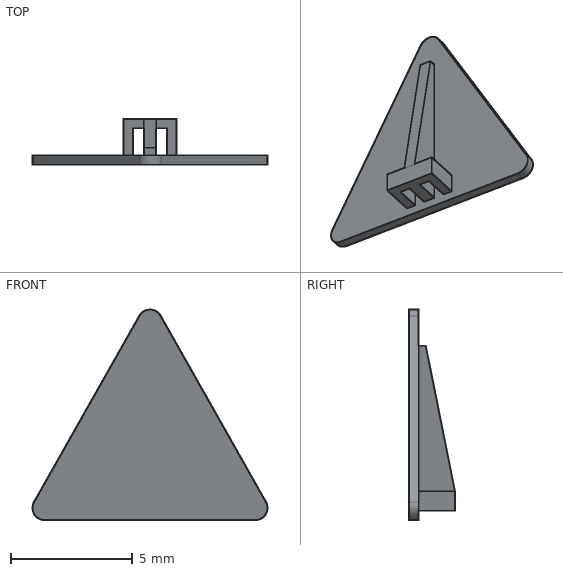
import cadquery as cq
import math

width = 9.69
height = 8.68
depth = 1.9
plate_thickness = 0.4
corner_radius = 0.5

bracket_width = 2.19
bracket_wall = 0.4
bracket_bottom = 0.39
bracket_top = 1.2

rib_width = 0.5
rib_top = 7.19
rib_top_reach = 0.3


def make_plate():
    """Isosceles outline: straight edges joined by arcs about three corner centres."""
    r = corner_radius
    base_x = width / 2 - r
    apex_z = height - r
    side_angle = math.atan2(apex_z - r, base_x)
    normal_x = r * math.sin(side_angle)
    normal_z = r * math.cos(side_angle)
    middle_angle = -side_angle / 2
    middle_x = base_x + r * math.cos(middle_angle)
    middle_z = r + r * math.sin(middle_angle)
    outline = (
        cq.Workplane("XZ")
        .moveTo(-base_x, 0)
        .lineTo(base_x, 0)
        .threePointArc((middle_x, middle_z), (base_x + normal_x, r + normal_z))
        .lineTo(normal_x, apex_z + normal_z)
        .threePointArc((0, height), (-normal_x, apex_z + normal_z))
        .lineTo(-base_x - normal_x, r + normal_z)
        .threePointArc((-middle_x, middle_z), (-base_x, 0))
        .close()
    )
    return outline.extrude(-plate_thickness)


def make_bracket():
    """Two side walls and a back wall, open at the top and bottom."""
    bracket_height = bracket_top - bracket_bottom
    reach = depth - plate_thickness
    base = cq.Workplane("XY", origin=(0, plate_thickness, bracket_bottom))
    from_plate = (True, False, False)
    block = base.box(bracket_width, reach, bracket_height, centered=from_plate)
    opening = base.box(
        bracket_width - 2 * bracket_wall,
        reach - bracket_wall,
        bracket_height,
        centered=from_plate,
    )
    return block.cut(opening)


def make_rib():
    """Rib that runs through the bracket and tapers towards the apex."""
    profile = [
        (plate_thickness, bracket_bottom),
        (depth, bracket_bottom),
        (depth, bracket_top),
        (plate_thickness + rib_top_reach, rib_top),
        (plate_thickness, rib_top),
    ]
    return cq.Workplane("YZ").polyline(profile).close().extrude(rib_width / 2, both=True)


result = make_plate().union(make_bracket()).union(make_rib())